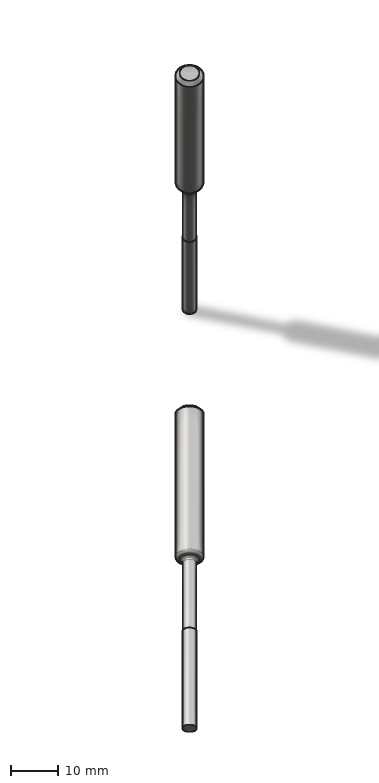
import cadquery as cq
import math

overall_length = 79.0
shank_diameter = 6.0
neck_diameter = 2.9
drill_diameter = 3.0

drill_length = 24.5
shank_length = 36.05

point_angle = 140.0
top_chamfer = 0.92

shank_radius = shank_diameter / 2
neck_radius = neck_diameter / 2
drill_radius = drill_diameter / 2

point_height = drill_radius / math.tan(math.radians(point_angle / 2))

shoulder_arc_radius = (shank_radius - neck_radius) / 2
shoulder_middle_radius = neck_radius + shoulder_arc_radius
shoulder_top = overall_length - shank_length
shoulder_middle = shoulder_top - shoulder_arc_radius
shoulder_bottom = shoulder_middle - shoulder_arc_radius


def revolve_about_z(profile):
    """Turn a closed half profile, drawn on XZ, fully around the Z axis."""
    return profile.revolve(360, (0, 0, 0), (0, 1, 0))


def make_holder():
    """Shank with a chamfered top end, S-shaped shoulder and slim neck."""
    profile = (
        cq.Workplane("XZ")
        .moveTo(0, drill_length)
        .lineTo(neck_radius, drill_length)
        .lineTo(neck_radius, shoulder_bottom)
        .radiusArc((shoulder_middle_radius, shoulder_middle), shoulder_arc_radius)
        .radiusArc((shank_radius, shoulder_top), -shoulder_arc_radius)
        .lineTo(shank_radius, overall_length - top_chamfer)
        .lineTo(shank_radius - top_chamfer, overall_length)
        .lineTo(0, overall_length)
        .close()
    )
    return revolve_about_z(profile)


def make_drill():
    """Plain round drill body with a conical point, butted against the neck."""
    profile = (
        cq.Workplane("XZ")
        .moveTo(0, 0)
        .lineTo(drill_radius, point_height)
        .lineTo(drill_radius, drill_length)
        .lineTo(0, drill_length)
        .close()
    )
    return revolve_about_z(profile)


holder = make_holder()
drill = make_drill()

result = cq.Compound.makeCompound([holder.val(), drill.val()])